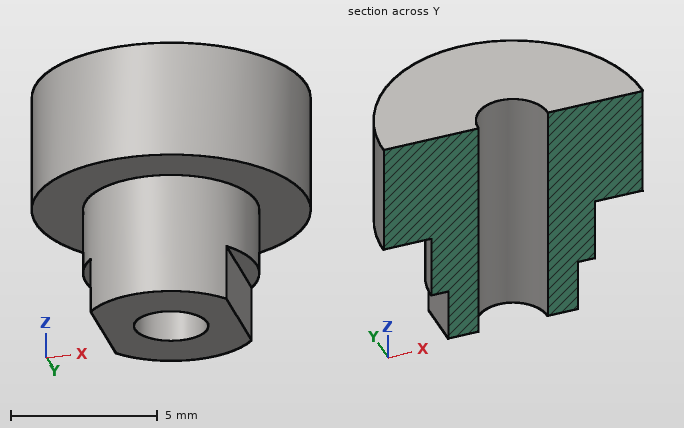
import cadquery as cq

total_height = 8.45
head_diameter = 9.5
head_height = 4.15
shank_diameter = 6.0
bore_diameter = 2.53

across_flats = 4.75
flat_height = 1.95

shank_height = total_height - head_height


def make_head():
    """Large cylindrical head sitting on top of the shank."""
    return cq.Workplane("XY").workplane(offset=shank_height).circle(head_diameter / 2).extrude(head_height)


def make_shank():
    """Round shank whose lower end is trimmed to two flats facing -X and +X."""
    round_part = (
        cq.Workplane("XY")
        .workplane(offset=flat_height)
        .circle(shank_diameter / 2)
        .extrude(shank_height - flat_height)
    )
    flat_limits = cq.Workplane("XY").rect(across_flats, shank_diameter).extrude(flat_height)
    flatted_end = cq.Workplane("XY").circle(shank_diameter / 2).extrude(flat_height).intersect(flat_limits)
    return round_part.union(flatted_end)


def make_bore():
    """Axial hole through the whole part."""
    return cq.Workplane("XY").circle(bore_diameter / 2).extrude(total_height)


result = make_head().union(make_shank()).cut(make_bore())